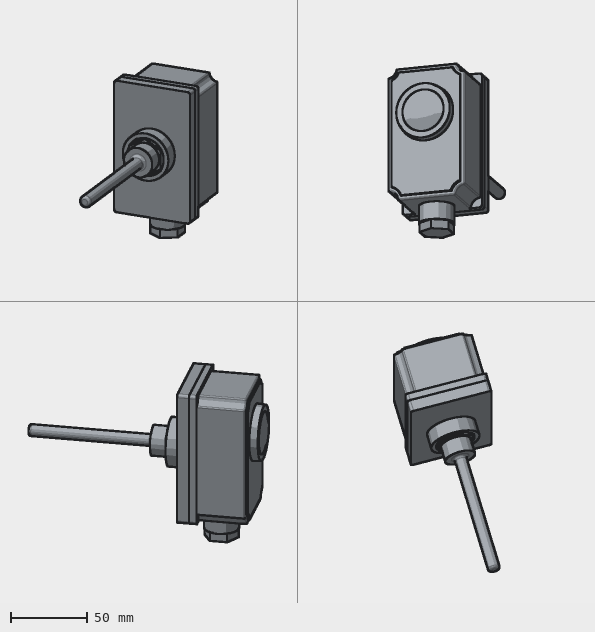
import cadquery as cq
import math


plate_width = 55.0
plate_height = 91.8
plate_corner_radius = 1.9
base_thickness = 8.0
flange_thickness = 5.0
flange_back_y = base_thickness + flange_thickness

boss_radius = 16.5
boss_length = 10.0

probe_hex_flats = 22.7
probe_hex_radius = probe_hex_flats / math.sqrt(3)
probe_hex_stand_out = 1.0
probe_hex_length = boss_length + probe_hex_stand_out
sleeve_radius = 10.2
sleeve_length = 10.7
sleeve_face_y = -(probe_hex_length + sleeve_length)
rod_radius = 4.0
rod_root_radius = 1.9
rod_tip_radius = 1.9
rod_tip_y = -104.6

cover_side_inset = 1.0
cover_top_inset = 1.9
cover_width = plate_width - 2 * cover_side_inset
cover_bottom_z = -plate_height / 2
cover_top_z = plate_height / 2 - cover_top_inset
cover_depth = 32.3
cover_back_y = flange_back_y + cover_depth
cover_edge_radius = 1.0
top_notch_radius = 5.6
bottom_notch_radius = 6.7

panel_inset = 2.9
panel_thickness = 1.5
panel_back_y = cover_back_y + panel_thickness

knob_z = 11.8
knob_base_radius = 19.0
knob_top_radius = 18.5
knob_height = 5.5
dome_radius = 14.2
dome_height = 3.0

gland_y = 24.1
gland_radius = 11.7
gland_length = 12.0
gland_hex_flats = 20.0
gland_hex_radius = gland_hex_flats / math.sqrt(3)
gland_hex_length = 6.2


def plane_at(y):
    """Workplane across Y whose local axes are X and Z and whose normal is -Y."""
    return cq.Workplane("XZ", origin=(0, y, 0))


def hexagon(radius, first_angle):
    """Corner points of a regular hexagon with one corner at first_angle degrees."""
    angles = [math.radians(first_angle + 60 * i) for i in range(6)]
    return [(radius * math.cos(a), radius * math.sin(a)) for a in angles]


def plate(front_y, thickness):
    """Slab of the common plate outline with rounded corners, growing along +Y."""
    slab = plane_at(front_y).rect(plate_width, plate_height).extrude(-thickness)
    return slab.edges("|Y").fillet(plate_corner_radius)


def notched_block(inset, front_y, depth):
    """Cover outline shrunk by inset, with a concave round notch at each corner."""
    height = cover_top_z - cover_bottom_z
    middle_z = (cover_top_z + cover_bottom_z) / 2
    block = (
        plane_at(front_y)
        .center(0, middle_z)
        .rect(cover_width - 2 * inset, height - 2 * inset)
        .extrude(-depth)
    )
    for z, radius in ((cover_top_z, top_notch_radius), (cover_bottom_z, bottom_notch_radius)):
        corners = [(-cover_width / 2, z), (cover_width / 2, z)]
        notches = plane_at(front_y).pushPoints(corners).circle(radius + inset).extrude(-depth)
        block = block.cut(notches)
    return block


def make_base():
    """Base plate with a boss, bored down to the plate for the probe hexagon."""
    boss = plane_at(0).circle(boss_radius).circle(probe_hex_radius).extrude(boss_length)
    return plate(0, base_thickness).union(boss)


def make_cover():
    """Flange, notched box with rounded edges, raised back panel and cable gland."""
    box = notched_block(0, flange_back_y, cover_depth)
    box = box.edges("|Y").fillet(cover_edge_radius)
    box = box.faces(">Y").edges().fillet(cover_edge_radius)
    panel = notched_block(panel_inset, cover_back_y, panel_thickness)
    return plate(base_thickness, flange_thickness).union(box).union(panel).union(make_gland())


def make_gland():
    """Round gland body with a hexagon below it, hanging from the cover."""
    top = cq.Workplane("XY", origin=(0, gland_y, cover_bottom_z))
    barrel = top.circle(gland_radius).extrude(-gland_length)
    hexagon_end = (
        top.workplane(offset=-gland_length)
        .polyline(hexagon(gland_hex_radius, 90))
        .close()
        .extrude(-gland_hex_length)
    )
    return barrel.union(hexagon_end)


def make_probe():
    """Hexagon seated in the boss, sleeve, and round-ended rod with a flared root."""
    hexagon_end = plane_at(0).polyline(hexagon(probe_hex_radius, 90)).close().extrude(probe_hex_length)
    sleeve = plane_at(-probe_hex_length).circle(sleeve_radius).extrude(sleeve_length)
    rod_length = sleeve_face_y - rod_tip_y
    rod = plane_at(sleeve_face_y).circle(rod_radius).extrude(rod_length)
    rod = rod.faces("<Y").edges().fillet(rod_tip_radius)
    flare_radius = rod_radius + rod_root_radius
    flare_end_y = sleeve_face_y - rod_root_radius
    bulge = rod_root_radius * (1 - math.sqrt(0.5))
    flare = (
        cq.Workplane("XY")
        .moveTo(0, sleeve_face_y)
        .lineTo(flare_radius, sleeve_face_y)
        .threePointArc((rod_radius + bulge, sleeve_face_y - bulge), (rod_radius, flare_end_y))
        .lineTo(0, flare_end_y)
        .close()
        .revolve(360, (0, 0, 0), (0, 1, 0))
    )
    return hexagon_end.union(sleeve).union(rod).union(flare)


def make_knob():
    """Slightly tapered round knob with a shallow spherical dome on its back face."""
    knob_back_y = panel_back_y + knob_height
    apex_y = knob_back_y + dome_height
    sphere_radius = (dome_radius**2 + dome_height**2) / (2 * dome_height)
    mid_angle = math.asin(dome_radius / sphere_radius) / 2
    mid_point = (
        sphere_radius * math.sin(mid_angle),
        apex_y - sphere_radius * (1 - math.cos(mid_angle)),
    )
    return (
        cq.Workplane("XY", origin=(0, 0, knob_z))
        .moveTo(0, panel_back_y)
        .lineTo(knob_base_radius, panel_back_y)
        .lineTo(knob_top_radius, knob_back_y)
        .lineTo(dome_radius, knob_back_y)
        .threePointArc(mid_point, (0, apex_y))
        .close()
        .revolve(360, (0, 0, 0), (0, 1, 0))
    )


base = make_base()
cover = make_cover()
probe = make_probe()
knob = make_knob()

result = cq.Compound.makeCompound([base.val(), cover.val(), probe.val(), knob.val()])